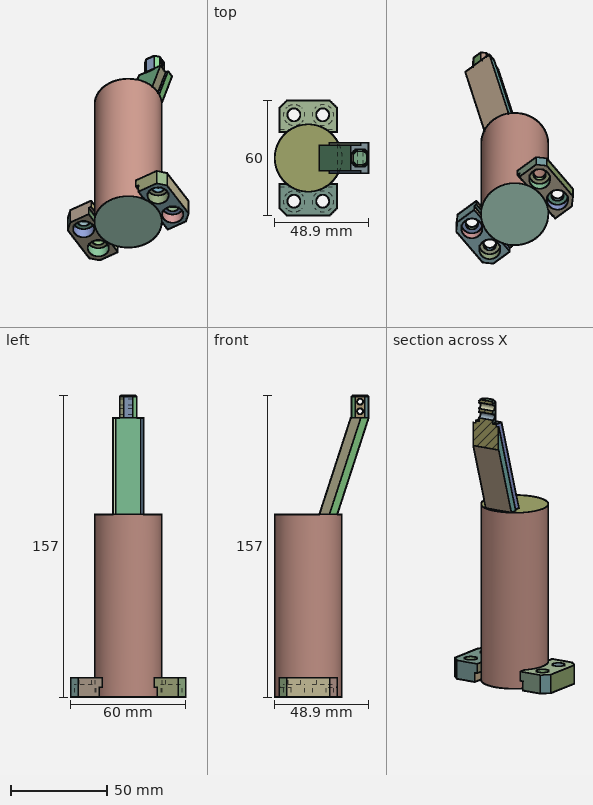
import cadquery as cq
import math

housing_diameter = 35.0
housing_height = 95.0

arm_lean = 18.0
arm_top = 145.0
arm_reach = 31.4
arm_thickness = 9.0
arm_front_thickness = 5.0
arm_front_width = 13.0
arm_rear_width = 16.0

total_height = 157.0
head_side = 9.0
head_corner_chamfer = 2.0
head_top_chamfer = 1.0
head_hole_diameter = 3.0
head_hole_pitch = 5.0

clamp_length = 30.0
clamp_outer_y = 30.0
clamp_inner_y = 13.5
clamp_height = 10.0
clamp_corner_chamfer = 4.0
relief_depth = 1.5
relief_height = clamp_height / 2
clamp_hole_diameter = 6.6
clamp_hole_neck = 3.5
clamp_counterbore_diameter = 11.0
clamp_hole_pitch = clamp_length / 2
clamp_hole_y = 22.5


def leaning_bar(front_x, rear_x, width):
    """Bar between two X positions on the housing top, leaning towards +X."""
    rise = arm_top - housing_height
    shift = rise * math.tan(math.radians(arm_lean))
    return (
        cq.Workplane("XZ")
        .moveTo(front_x, housing_height)
        .lineTo(front_x + shift, arm_top)
        .lineTo(rear_x + shift, arm_top)
        .lineTo(rear_x, housing_height)
        .close()
        .extrude(width / 2, both=True)
    )


def make_arm():
    """Stepped arm made from the narrow front bar and the wide rear bar."""
    lean = math.radians(arm_lean)
    rear_x = arm_reach - (arm_top - housing_height) * math.tan(lean)
    front_x = rear_x - arm_thickness / math.cos(lean)
    step_x = front_x + arm_front_thickness / math.cos(lean)
    front_bar = leaning_bar(front_x, step_x, arm_front_width)
    rear_bar = leaning_bar(step_x, rear_x, arm_rear_width)
    return front_bar.union(rear_bar)


def make_head():
    """Chamfered square head, flush with the rear of the arm, with two cross holes."""
    center_x = arm_reach - head_side / 2
    head_height = total_height - arm_top
    center_z = arm_top + head_height / 2
    head = (
        cq.Workplane("XY", origin=(center_x, 0, arm_top))
        .rect(head_side, head_side)
        .extrude(head_height)
        .edges("|Z")
        .chamfer(head_corner_chamfer)
        .faces(">Z")
        .chamfer(head_top_chamfer)
    )
    holes = (
        cq.Workplane("XZ", origin=(center_x, 0, center_z))
        .rarray(1.5, head_hole_pitch, 1, 2)
        .circle(head_hole_diameter / 2)
        .extrude(head_side, both=True)
    )
    return head.cut(holes)


def make_housing():
    """Housing cylinder with its arm and head."""
    cylinder = cq.Workplane("XY").circle(housing_diameter / 2).extrude(housing_height)
    return cylinder.union(make_arm()).union(make_head())


def clamp_cylinders(side, diameter, height):
    """Pair of upright cylinders at the clamp hole positions."""
    return (
        cq.Workplane("XY")
        .center(0, side * clamp_hole_y)
        .rarray(clamp_hole_pitch, 1.5, 2, 1)
        .circle(diameter / 2)
        .extrude(height)
    )


def make_clamp(side):
    """Foot clamp on the +Y (side = 1) or -Y (side = -1) side of the housing."""
    clamp_depth = clamp_outer_y - clamp_inner_y
    outer_face = ">Y" if side > 0 else "<Y"
    block = (
        cq.Workplane("XY")
        .center(0, side * (clamp_inner_y + clamp_depth / 2))
        .rect(clamp_length, clamp_depth)
        .extrude(clamp_height)
        .faces(outer_face)
        .edges("|Z")
        .chamfer(clamp_corner_chamfer)
    )
    relief = (
        cq.Workplane("XY")
        .center(0, side * (clamp_inner_y + relief_depth / 2))
        .rect(clamp_length, relief_depth)
        .extrude(relief_height)
    )
    holes = clamp_cylinders(side, clamp_hole_diameter, clamp_height)
    counterbores = clamp_cylinders(side, clamp_counterbore_diameter, clamp_height - clamp_hole_neck)
    housing_seat = cq.Workplane("XY").circle(housing_diameter / 2).extrude(clamp_height)
    return block.cut(relief).cut(holes).cut(counterbores).cut(housing_seat)


housing = make_housing()
clamps = [make_clamp(side) for side in (-1, 1)]

result = cq.Compound.makeCompound([housing.solids().val(), *[clamp.solids().val() for clamp in clamps]])